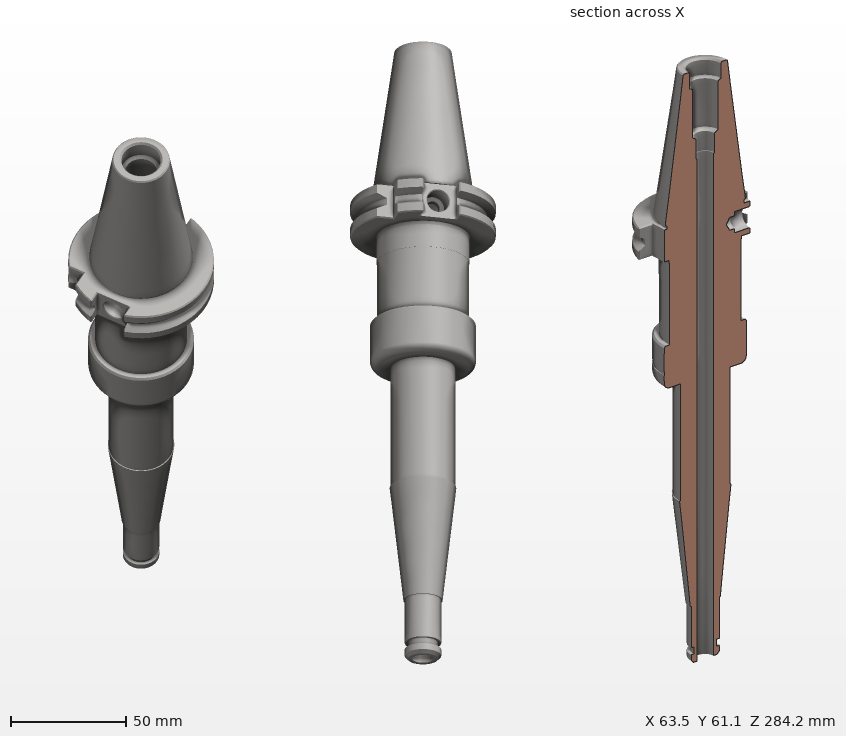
import cadquery as cq
import math

total_height = 284.2
flange_top = 212.5
flange_bottom = 197.0
taper_bottom = 215.0
relief_top = 214.0
upper_body_bottom = 185.0
collar_top = 156.5
collar_bottom = 136.0
shaft_bottom = 80.0
cone_bottom = 27.3
tip_groove_top = 7.5
tip_groove_bottom = 4.3

taper_top_diameter = 24.0
taper_small_diameter = 25.0
taper_large_diameter = 45.0
relief_diameter = 43.2
flange_diameter = 63.5
upper_body_diameter = 40.5
lower_body_diameter = 40.0
collar_diameter = 46.0
shaft_diameter = 28.0
cone_top_diameter = 29.0
cone_bottom_diameter = 17
tip_diameter = 16.0
tip_groove_diameter = 13.0
tip_end_diameter = 13.0

taper_top_chamfer = 0.5
upper_body_flare_width = 0.3
upper_body_flare_height = 1.5
collar_top_chamfer = 0.9
flange_chamfer = 0.5
collar_fillet = 3.0
tip_chamfer_height = 1.5

gripper_groove_height = (flange_top + flange_bottom) / 2
gripper_root_diameter = 56.3
gripper_root_width = 3.0
gripper_flank_angle = 30

slot_width = 16.0
front_slot_distance = 25.0
back_slot_distance = 22.7
slot_edge_chamfer = 0.9
slot_corner_fillet = 0.9
notch_distance = 18.5

locating_mouth_diameter = 10.8
locating_recess_diameter = 10.0
locating_recess_depth = 8.5
locating_hole_diameter = 6.0
locating_hole_depth = 11.5
drill_tip_angle = 118

bore_mouth_diameter = 18.8
bore_recess_diameter = 17
bore_recess_depth = 8.0
thread_diameter = 14.0
thread_depth = 32.0
pilot_diameter = 10.0
pilot_depth = 42.5
through_diameter = 9.0

mark_height = 143.5
mark_width = 1.7
mark_depth = 0.3
mark_sweep = 94


def revolve_profile(points):
    """Revolve (diameter, height) points, closed along the axis."""
    heights = [height for _, height in points]
    outline = [(0, heights[0])]
    outline += [(diameter / 2, height) for diameter, height in points]
    outline += [(0, heights[-1])]
    return cq.Workplane("XZ").polyline(outline).close().revolve(360, (0, 0, 0), (0, 1, 0))


def drill_point_height(diameter_change):
    """Height over which a drill point narrows by the given diameter."""
    return diameter_change / 2 / math.tan(math.radians(drill_tip_angle / 2))


def drilled_hole(diameter, depth):
    """Blind hole cutter along +Y from the origin, ending in a drill point."""
    radius = diameter / 2
    point = depth + drill_point_height(diameter)
    outline = [(0, 0), (radius, 0), (radius, depth), (0, point)]
    return cq.Workplane("XY").polyline(outline).close().revolve(360, (0, 0, 0), (0, 1, 0))


def make_taper_and_flange():
    return revolve_profile([
        (upper_body_diameter, flange_bottom),
        (flange_diameter - 2 * flange_chamfer, flange_bottom),
        (flange_diameter, flange_bottom + flange_chamfer),
        (flange_diameter, flange_top - flange_chamfer),
        (flange_diameter - 2 * flange_chamfer, flange_top),
        (relief_diameter, flange_top),
        (relief_diameter, relief_top),
        (taper_large_diameter, relief_top),
        (taper_large_diameter, taper_bottom),
        (taper_small_diameter, total_height - taper_top_chamfer),
        (taper_top_diameter, total_height),
    ])


def make_body():
    return revolve_profile([
        (lower_body_diameter, collar_top),
        (lower_body_diameter, upper_body_bottom),
        (upper_body_diameter, upper_body_bottom),
        (upper_body_diameter, flange_bottom - upper_body_flare_height),
        (upper_body_diameter + 2 * upper_body_flare_width, flange_bottom),
    ])


def make_collar():
    collar = cq.Workplane("XY", origin=(0, 0, collar_bottom)).circle(collar_diameter / 2)
    collar = collar.extrude(collar_top - collar_bottom)
    return collar.faces("<Z").edges().fillet(collar_fillet).faces(">Z").edges().chamfer(collar_top_chamfer)


def make_shaft():
    return revolve_profile([
        (tip_end_diameter, 0),
        (tip_diameter, tip_chamfer_height),
        (tip_diameter, tip_groove_bottom),
        (tip_groove_diameter, tip_groove_bottom),
        (tip_groove_diameter, tip_groove_top),
        (tip_diameter, tip_groove_top),
        (tip_diameter, cone_bottom),
        (cone_bottom_diameter, cone_bottom),
        (cone_top_diameter, shaft_bottom),
        (shaft_diameter, shaft_bottom),
        (shaft_diameter, collar_bottom),
    ])


def gripper_groove():
    flank = (flange_diameter - gripper_root_diameter) / 2 * math.tan(math.radians(gripper_flank_angle))
    half_root = gripper_root_width / 2
    half_mouth = half_root + flank
    outline = [
        (gripper_root_diameter / 2, gripper_groove_height - half_root),
        (flange_diameter / 2, gripper_groove_height - half_mouth),
        (flange_diameter / 2, gripper_groove_height + half_mouth),
        (gripper_root_diameter / 2, gripper_groove_height + half_root),
    ]
    return cq.Workplane("XZ").polyline(outline).close().revolve(360, (0, 0, 0), (0, 1, 0))


def flange_cut(outline):
    """Cutter with the given plan outline, as tall as the flange."""
    plane = cq.Workplane("XY", origin=(0, 0, flange_bottom))
    return plane.polyline(outline).close().extrude(flange_top - flange_bottom)


def rim_bevel(left, right, front, back):
    """Cutter that bevels the flange faces around a rectangular opening of the given plan limits."""
    center = ((left + right) / 2, (front + back) / 2, flange_top)
    bevel = cq.Workplane("XY", origin=center).rect(right - left, back - front)
    bevel = bevel.extrude(-flange_chamfer, taper=45)
    middle = (0, 0, (flange_top + flange_bottom) / 2)
    return bevel.union(bevel.mirror("XY", middle))


def drive_slot(floor_distance, side):
    """Slot on the side -1 (front) or +1 (back), with its outer edges chamfered."""
    half_width = slot_width / 2
    flange_radius = flange_diameter / 2
    rim = math.sqrt(flange_radius**2 - half_width**2)
    flare_start = rim - slot_edge_chamfer
    flare_end = half_width + flange_radius - flare_start
    right_edge = [
        (half_width, side * floor_distance),
        (half_width, side * flare_start),
        (flare_end, side * flange_radius),
    ]
    left_edge = [(-x, y) for x, y in reversed(right_edge)]
    slot = flange_cut(right_edge + left_edge)
    floor = "<Y" if side > 0 else ">Y"
    slot = slot.faces(floor).edges("|Z").fillet(slot_corner_fillet)
    bevel_half_width = half_width + flange_chamfer
    front, back = sorted([side * floor_distance, side * flange_diameter])
    return slot.union(rim_bevel(-bevel_half_width, bevel_half_width, front, back))


def orientation_notch():
    inner = -notch_distance
    outer = -flange_diameter / 2
    notch = flange_cut([(inner, inner), (outer, inner), (outer, outer), (inner, outer)])
    bevel_inner = inner + flange_chamfer
    return notch.union(rim_bevel(-flange_diameter, bevel_inner, -flange_diameter, bevel_inner))


def locating_hole():
    radius = locating_recess_diameter / 2
    mouth_radius = locating_mouth_diameter / 2
    outline = [
        (0, 0),
        (mouth_radius, 0),
        (radius, mouth_radius - radius),
        (radius, locating_recess_depth),
        (0, locating_recess_depth),
    ]
    recess = cq.Workplane("XY").polyline(outline).close().revolve(360, (0, 0, 0), (0, 1, 0))
    hole = recess.union(drilled_hole(locating_hole_diameter, locating_hole_depth))
    return hole.translate((0, -front_slot_distance, gripper_groove_height))


def axial_bore():
    mouth_chamfer = (bore_mouth_diameter - bore_recess_diameter) / 2
    recess_floor = total_height - bore_recess_depth
    pilot_floor = total_height - pilot_depth
    thread_floor = total_height - thread_depth
    return revolve_profile([
        (through_diameter, 0),
        (through_diameter, pilot_floor),
        (pilot_diameter, pilot_floor),
        (pilot_diameter, thread_floor - drill_point_height(thread_diameter - pilot_diameter)),
        (thread_diameter, thread_floor),
        (thread_diameter, recess_floor - drill_point_height(bore_recess_diameter - thread_diameter)),
        (bore_recess_diameter, recess_floor),
        (bore_recess_diameter, total_height - mouth_chamfer),
        (bore_mouth_diameter, total_height),
    ])


def collar_mark():
    outer = collar_diameter / 2
    inner = outer - mark_depth
    ring = cq.Workplane("XY").circle(outer + mark_depth).circle(inner).extrude(mark_width)
    reach = 2 * outer
    spread = reach * math.tan(math.radians(mark_sweep / 2))
    sector = cq.Workplane("XY").polyline([(0, 0), (spread, reach), (-spread, reach)]).close()
    mark = ring.intersect(sector.extrude(mark_width))
    return mark.translate((0, 0, mark_height - mark_width / 2))


result = (
    make_taper_and_flange()
    .union(make_body())
    .union(make_collar())
    .union(make_shaft())
    .cut(gripper_groove())
    .cut(drive_slot(front_slot_distance, -1))
    .cut(drive_slot(back_slot_distance, 1))
    .cut(orientation_notch())
    .cut(locating_hole())
    .cut(axial_bore())
    .cut(collar_mark())
)